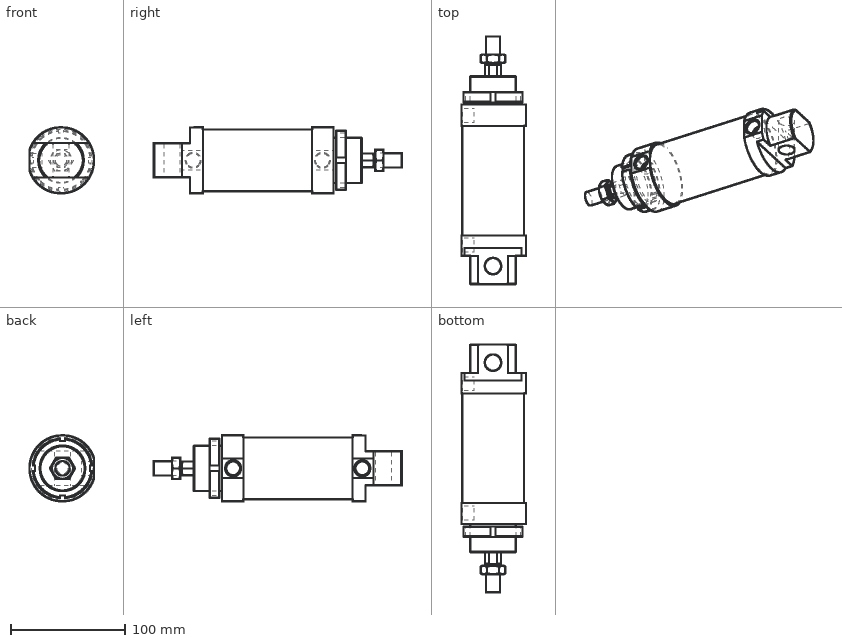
import cadquery as cq
import math


LUG_CHAMFER = 0.9
REAR_CAP_START = 25.0
LUG_CUT_END = 31.7
REAR_CAP_END = 43.0
FRONT_CAP_START = 138.7
FRONT_CAP_END = 157.3
LOCKNUT_START = 159.3
LOCKNUT_END = 168.5
COLLAR_END = 182.0
ROD_HEX_END = 192.0
ROD_NUT_START = 193.5
ROD_NUT_END = 201.2
ROD_TIP = 217.0

CAP_DIAMETER = 58.0
CAP_RADIUS = CAP_DIAMETER / 2
TUBE_RADIUS = 27.1
COLLAR_RADIUS = 20.0
COLLAR_CHAMFER = 0.7
LUG_THICKNESS = 30.0
PIVOT_DIAMETER = 14.0
PIVOT_Y = 16.0

CAP_WIDTH = 56.6
PORT_FLAT_X = CAP_RADIUS - CAP_WIDTH
PORT_DIAMETER = 12.2
PORT_CHAMFER = 0.9
PORT_DEPTH = 10.8
PORT_STATIONS = (34.5, 147.5)

LOCKNUT_RADIUS = 26.0
LOCKNUT_CHAMFER = 0.7
SLOT_COUNT = 4
SLOT_WIDTH = 4.8
SLOT_DEPTH = 2.2

THREAD_RADIUS = 6.3
NECK_RADIUS = 5.0
ROD_HEX_FLATS = 12.2
ROD_NUT_FLATS = 18.9
ROD_NUT_CHAMFER_ANGLE = 30
ROD_NUT_CHAMFER_WIDTH = 1.7

HEX_CORNER_RATIO = 2 / math.sqrt(3)


def plane_at(y):
    """Work plane across the axis at station y, facing +Y."""
    return cq.Workplane(cq.Plane(origin=(0, y, 0), xDir=(1, 0, 0), normal=(0, 1, 0)))


def disc(radius, start, end):
    """Round bar along Y between two stations."""
    return plane_at(start).circle(radius).extrude(end - start)


def hexagon(across_flats, start, end):
    """Hexagonal prism with two corners on the X axis."""
    return plane_at(start).polygon(6, across_flats * HEX_CORNER_RATIO).extrude(end - start)


def make_housing():
    lug = disc(COLLAR_RADIUS, 0, REAR_CAP_START).faces("<Y").chamfer(LUG_CHAMFER)
    caps = disc(CAP_RADIUS, REAR_CAP_START, REAR_CAP_END).union(
        disc(CAP_RADIUS, FRONT_CAP_START, FRONT_CAP_END)
    )
    tube = disc(TUBE_RADIUS, REAR_CAP_END, FRONT_CAP_START)
    collar = disc(COLLAR_RADIUS, FRONT_CAP_END, COLLAR_END).faces(">Y").chamfer(COLLAR_CHAMFER)
    housing = lug.union(caps).union(tube).union(collar)

    for side in (1, -1):
        flat = cq.Workplane().box(CAP_DIAMETER, LUG_CUT_END, CAP_RADIUS, centered=(True, False, True))
        housing = housing.cut(flat.translate((0, 0, side * (LUG_THICKNESS + CAP_RADIUS) / 2)))
    pivot_hole = cq.Workplane().center(0, PIVOT_Y).circle(PIVOT_DIAMETER / 2).extrude(LUG_THICKNESS, both=True)
    housing = housing.cut(pivot_hole)

    outside = cq.Workplane().box(CAP_RADIUS, COLLAR_END, CAP_DIAMETER, centered=(True, False, True))
    housing = housing.cut(outside.translate((PORT_FLAT_X - CAP_RADIUS / 2, 0, 0)))
    for station in PORT_STATIONS:
        housing = housing.cut(make_port().translate((PORT_FLAT_X, station, 0)))
    return housing


def make_port():
    """Blind bore with a chamfered mouth, running in +X from the origin."""
    radius = PORT_DIAMETER / 2
    return (
        cq.Workplane()
        .polyline([
            (0, 0),
            (0, radius + PORT_CHAMFER),
            (PORT_CHAMFER, radius),
            (PORT_DEPTH, radius),
            (PORT_DEPTH, 0),
        ])
        .close()
        .revolve(360, (0, 0), (1, 0))
    )


def make_locknut():
    length = LOCKNUT_END - LOCKNUT_START
    locknut = disc(LOCKNUT_RADIUS, LOCKNUT_START, LOCKNUT_END).edges().chamfer(LOCKNUT_CHAMFER)
    locknut = locknut.cut(disc(COLLAR_RADIUS, LOCKNUT_START, LOCKNUT_END))
    slots = (
        plane_at(LOCKNUT_START)
        .polarArray(LOCKNUT_RADIUS, 0, 360, SLOT_COUNT)
        .rect(2 * SLOT_DEPTH, SLOT_WIDTH)
        .extrude(length)
    )
    return locknut.cut(slots)


def make_rod():
    return (
        hexagon(ROD_HEX_FLATS, COLLAR_END, ROD_HEX_END)
        .union(disc(NECK_RADIUS, ROD_HEX_END, ROD_NUT_START))
        .union(disc(THREAD_RADIUS, ROD_NUT_START, ROD_TIP))
    )


def make_rod_nut():
    corner_radius = ROD_NUT_FLATS * HEX_CORNER_RATIO / 2
    drop = ROD_NUT_CHAMFER_WIDTH * math.tan(math.radians(ROD_NUT_CHAMFER_ANGLE))
    face_radius = corner_radius - ROD_NUT_CHAMFER_WIDTH
    turned = (
        cq.Workplane()
        .polyline([
            (0, ROD_NUT_START),
            (face_radius, ROD_NUT_START),
            (corner_radius, ROD_NUT_START + drop),
            (corner_radius, ROD_NUT_END - drop),
            (face_radius, ROD_NUT_END),
            (0, ROD_NUT_END),
        ])
        .close()
        .revolve(360, (0, 0), (0, 1))
    )
    blank = hexagon(ROD_NUT_FLATS, ROD_NUT_START, ROD_NUT_END).intersect(turned)
    return blank.cut(disc(THREAD_RADIUS, ROD_NUT_START, ROD_NUT_END))


housing = make_housing()
locknut = make_locknut()
rod = make_rod()
rod_nut = make_rod_nut()

result = cq.Compound.makeCompound([housing.val(), locknut.val(), rod.val(), rod_nut.val()])